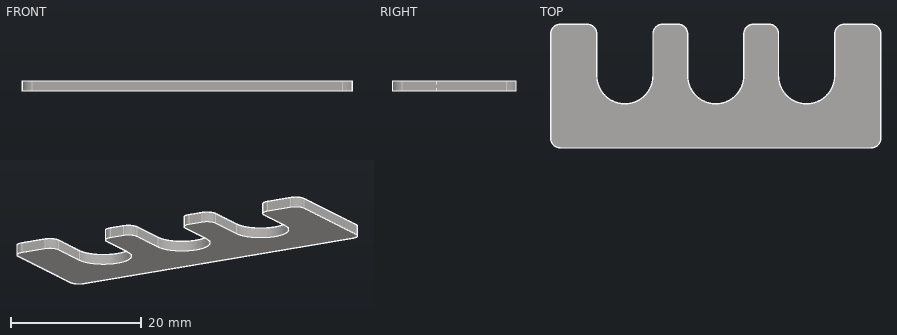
import cadquery as cq

length = 50.8
width = 19.05
thickness = 1.6
corner_radius = 1.5

slot_count = 3
slot_pitch = 13.95
slot_width = 8.6
slot_depth = 12.25
slot_radius = slot_width / 2
slot_center_y = width / 2 - slot_depth + slot_radius


def slot_cutter(center_x):
    """Solid of one open slot, ending in a full half circle."""
    open_y = width / 2
    return (
        cq.Workplane("XY")
        .moveTo(center_x - slot_radius, open_y)
        .lineTo(center_x - slot_radius, slot_center_y)
        .threePointArc(
            (center_x, slot_center_y - slot_radius),
            (center_x + slot_radius, slot_center_y),
        )
        .lineTo(center_x + slot_radius, open_y)
        .close()
        .extrude(thickness)
    )


plate = cq.Workplane("XY").box(length, width, thickness, centered=(True, True, False))
for index in range(slot_count):
    center_x = (index - (slot_count - 1) / 2) * slot_pitch
    plate = plate.cut(slot_cutter(center_x))

finger_tips = plate.faces(">Y").edges("|Z")
back_corners = plate.faces("<Y").edges("|Z")
result = plate.newObject(finger_tips.vals() + back_corners.vals()).fillet(corner_radius)